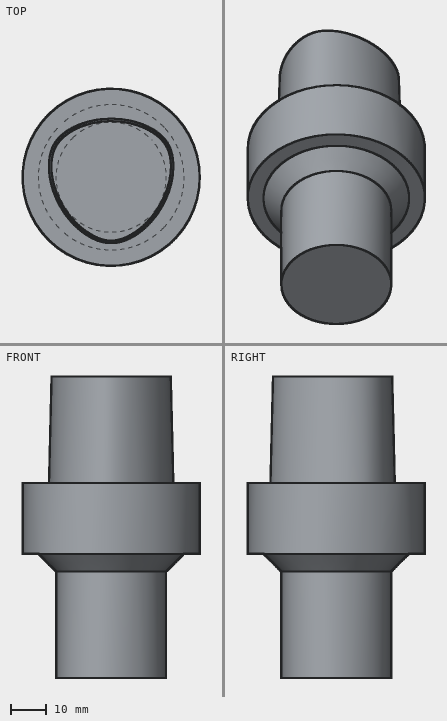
import cadquery as cq
import math

total_height = 85.0
shank_height = 30.0
flange_height = 20.0
stem_height = 30.0
cone_height = total_height - shank_height - flange_height - stem_height

stem_diameter = 31.0
flange_diameter = 50.0
cone_diameter = stem_diameter + 2 * cone_height

shank_base_width = 35.1
shank_top_width = 33.7
lobe_height = 1.0
outline_points = 48

flange_bottom = stem_height + cone_height
flange_top = flange_bottom + flange_height


def round_body():
    """Stem, cone and flange turned about Z, standing on Z = 0."""
    stem_radius = stem_diameter / 2
    flange_radius = flange_diameter / 2
    half_section = (
        cq.Workplane("XZ")
        .lineTo(stem_radius, 0)
        .lineTo(stem_radius, stem_height)
        .lineTo(cone_diameter / 2, flange_bottom)
        .lineTo(flange_radius, flange_bottom)
        .lineTo(flange_radius, flange_top)
        .lineTo(0, flange_top)
        .close()
    )
    return half_section.revolve(360, (0, 0, 0), (0, 1, 0))


def lobed_point(width, angle):
    """Point of the constant-width outline whose outward normal has this angle."""
    lobe_phase = 3 * (angle + math.pi / 2)
    support = width / 2 + lobe_height * math.cos(lobe_phase)
    slope = -3 * lobe_height * math.sin(lobe_phase)
    return (
        support * math.cos(angle) - slope * math.sin(angle),
        support * math.sin(angle) + slope * math.cos(angle),
    )


def lobed_outline(width):
    """Points around the closed three-lobed outline."""
    step = 2 * math.pi / outline_points
    return [lobed_point(width, i * step) for i in range(outline_points)]


def lobed_shank():
    """Tapered shank from the flange top to the upper end."""
    return (
        cq.Workplane("XY")
        .workplane(offset=flange_top)
        .spline(lobed_outline(shank_base_width), periodic=True)
        .close()
        .workplane(offset=shank_height)
        .spline(lobed_outline(shank_top_width), periodic=True)
        .close()
        .loft(ruled=True)
    )


result = round_body().union(lobed_shank())